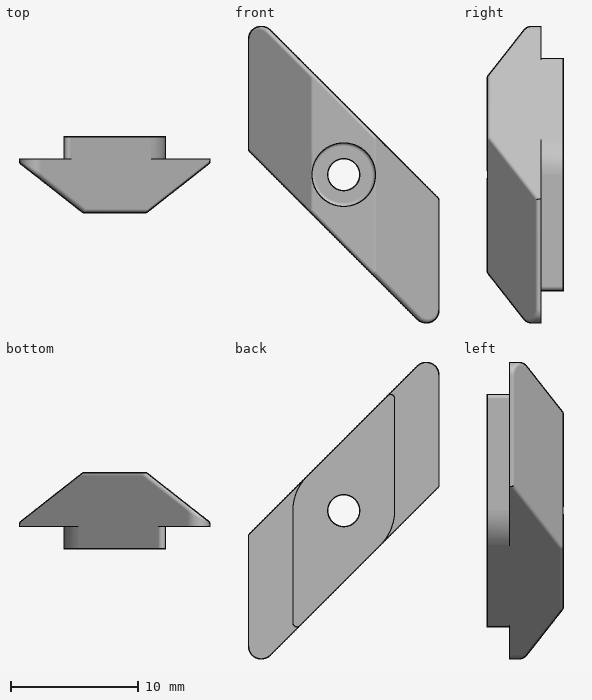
import cadquery as cq
import math

body_width = 14.98
length = 23.33
front_width = 5.0
body_depth = 4.25
lip_depth = 0.33
body_corner_radius = 1.0
edge_radius = 0.28

boss_width = 8.0
boss_height = 1.75
boss_acute_radius = 0.33
boss_obtuse_radius = 3.85

hole_diameter = 2.5
recess_diameter = 5.0
recess_depth = 0.5
recess_floor_radius = 0.25

sharp_half_length = length / 2 + math.sqrt(2) * body_corner_radius
side_offset = sharp_half_length - body_width / 2


def rhomboid(width, depth):
    """Prism with vertical ends and 45 degree sides, extruded from Y = 0 toward -Y."""
    half = width / 2
    corners = [
        (-half, side_offset + half),
        (half, side_offset - half),
        (half, -side_offset - half),
        (-half, -side_offset + half),
    ]
    return cq.Workplane("XZ").polyline(corners).close().extrude(depth)


def round_corners(prism, acute, radius):
    """Round the two acute corners (largest |z|) or the two obtuse ones (smallest |z|)."""
    edges = prism.edges("|Y").vals()
    edges.sort(key=lambda edge: abs(edge.Center().z), reverse=acute)
    return prism.newObject(edges[:2]).fillet(radius)


def make_body():
    prism = round_corners(rhomboid(body_width, body_depth), True, body_corner_radius)
    profile = (
        cq.Workplane("XY")
        .moveTo(-body_width / 2, 0)
        .lineTo(-body_width / 2, -lip_depth)
        .lineTo(-front_width / 2, -body_depth)
        .lineTo(front_width / 2, -body_depth)
        .lineTo(body_width / 2, -lip_depth)
        .lineTo(body_width / 2, 0)
        .close()
        .extrude(length, both=True)
    )
    body = prism.intersect(profile)
    return body.edges("not(|Y or >Y)").fillet(edge_radius)


def make_boss():
    boss = round_corners(rhomboid(boss_width, -boss_height), True, boss_acute_radius)
    return round_corners(boss, False, boss_obtuse_radius)


def make_recessed_hole():
    """Cutter along Y: a through hole with a round-cornered recess at the front face."""
    front_face = cq.Workplane("XZ", origin=(0, -body_depth, 0))
    recess = (
        front_face.circle(recess_diameter / 2)
        .extrude(-recess_depth)
        .edges(">Y")
        .fillet(recess_floor_radius)
    )
    hole = front_face.circle(hole_diameter / 2).extrude(-(body_depth + boss_height))
    return recess.union(hole)


result = make_body().union(make_boss()).cut(make_recessed_hole())